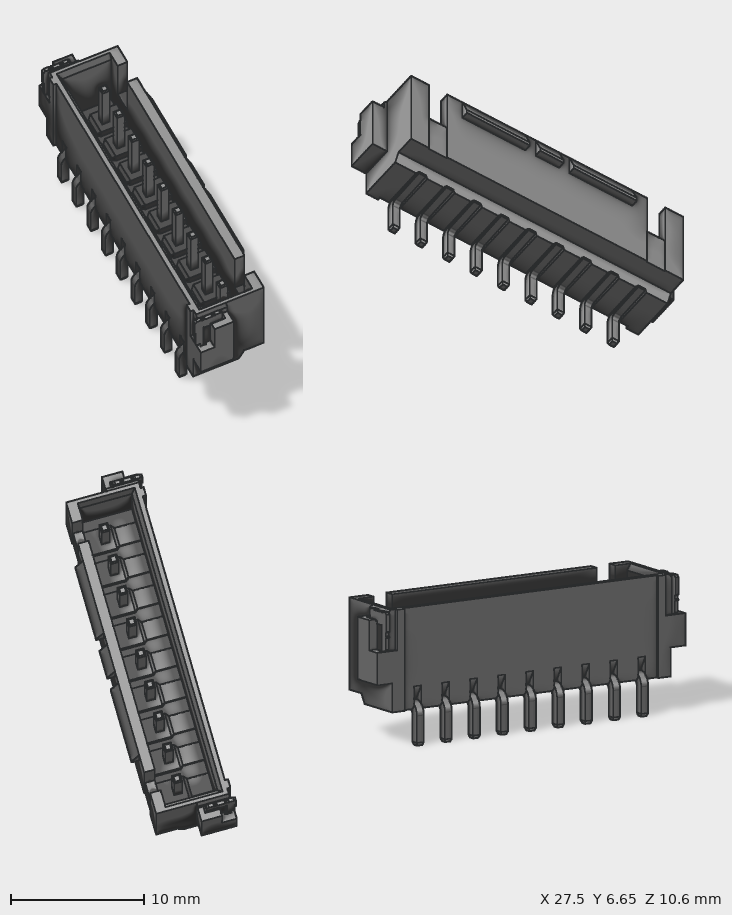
import cadquery as cq

PIN_COUNT = 9
PITCH = 2.5

BODY_HALF = 12.43
BODY_BACK = 5.66
BODY_TOP = 7.8
HEEL_HEIGHT = 0.75
HEEL_LOW_Y = 3.58
HEEL_HIGH_Y = 4.02

CAVITY_HALF = 11.82
CAVITY_FRONT = 0.72
CAVITY_BACK = 4.85
CAVITY_FLOOR = 2.2
MOUTH_FLARE = 0.3
MOUTH_DEPTH = 0.5

SEAT_WIDTH = 1.85
SEAT_FRONT = 2.65
SEAT_TOP = 2.75
TONGUE_WIDTH = 1.43
TONGUE_BACK = 2.4
TONGUE_TOP = 2.48

WINDOW_INNER = 9.13
WINDOW_OUTER = 10.78
WINDOW_SILL = 4.18
SILL_SETBACK = 0.08

RIB_BACK = 6.27
RIB_BOTTOM = 6.08
RIB_NOSE = 6.4
RIB_SPANS = [(-7.75, -2.0), (-1.07, 1.07), (2.0, 7.75)]

EAR_HALF = 13.75
EAR_BACK = 2.5
EAR_BOTTOM = 2.23
EAR_TOP = 7.0
PAD_FRONT = -0.25
PAD_INNER = 11.33
NOTCH_INNER = 12.0
NOTCH_BACK = 0.9
NOTCH_FLOOR = 4.7
CHEEK_HALF = 12.68

METAL_FRONT = -0.38

SLOT_BOTTOM = 3.3
SLOT_LEAD_IN = 0.16
SOCKET_OUTER = 13.2
SOCKET_BACK = 0.5
NAIL_INNER = 12.75
NAIL_OUTER = 13.04
NAIL_BACK = 1.9
NAIL_BACK_CORNER = 0.08
NAIL_EDGE_CHAMFER = 0.08
NAIL_TOP = 7.73
NAIL_CORNER = 0.16
NAIL_ARM_BOTTOM = 6.65
NAIL_LEG_BACK = 0.38
NAIL_STEM_FRONT = 0.05
NAIL_RELIEF = 0.08
NAIL_RELIEF_TOP = 6.25
NAIL_GROOVE_Y = (0.16, 1.32)
TOOTH_SIZE = 0.16
FRONT_TOOTH_Z = 5.83
TOP_TOOTH_Y = (0.38, 1.15)

PIN_SIZE = 0.63
PIN_Y = 3.35
PIN_TOP = 6.8
PIN_TIP = -2.78
PIN_UNDERSIDE = -0.05
RUN_RISE = 0.08
BEND_INNER_RADIUS = 0.38
TOP_CHAMFER = 0.1
TIP_CHAMFER = 0.095
TIP_CHAMFER_LENGTH = 0.25

OUTLET_TOP = 1.73
OUTLET_DEPTH = 0.63
OUTLET_GAP = 0.08
FLARE = 0.2

PIN_XS = [(i - (PIN_COUNT - 1) / 2) * PITCH for i in range(PIN_COUNT)]


def box(x0, x1, y0, y1, z0, z1):
    """Axis-aligned box between two corners."""
    return cq.Workplane("XY").box(x1 - x0, y1 - y0, z1 - z0, centered=False).translate((x0, y0, z0))


def flare(lower, upper, z0, z1):
    """Solid that runs from one (x0, x1, y0, y1) rectangle at z0 to another at z1."""
    sections = []
    for (x0, x1, y0, y1), z in ((lower, z0), (upper, z1)):
        corners = [(x0, y0, z), (x1, y0, z), (x1, y1, z), (x0, y1, z)]
        sections.append(cq.Wire.makePolygon([cq.Vector(*corner) for corner in corners], close=True))
    return cq.Workplane(cq.Solid.makeLoft(sections, True))


def side_profile(points, x0, x1):
    """Closed Y-Z outline extruded from x0 to x1."""
    return cq.Workplane("YZ").polyline(points).close().extrude(x1 - x0).translate((x0, 0, 0))


def both_ends(shape):
    """The +X shape together with its mirror image at the -X end."""
    return shape.union(shape.mirror("YZ"))


def make_shell():
    outline = [
        (0, 0),
        (HEEL_LOW_Y, 0),
        (HEEL_HIGH_Y, HEEL_HEIGHT),
        (BODY_BACK, HEEL_HEIGHT),
        (BODY_BACK, BODY_TOP),
        (0, BODY_TOP),
    ]
    return side_profile(outline, -BODY_HALF, BODY_HALF)


def make_cavity():
    """Open-top cavity whose mouth flares at the front and both ends, not at the back."""
    cavity = box(-CAVITY_HALF, CAVITY_HALF, CAVITY_FRONT, CAVITY_BACK, CAVITY_FLOOR, BODY_TOP)
    mouth_half = CAVITY_HALF + MOUTH_FLARE
    mouth = flare(
        (-CAVITY_HALF, CAVITY_HALF, CAVITY_FRONT, CAVITY_BACK),
        (-mouth_half, mouth_half, CAVITY_FRONT - MOUTH_FLARE, CAVITY_BACK),
        BODY_TOP - MOUTH_DEPTH,
        BODY_TOP,
    )
    return cavity.union(mouth)


def make_seat(x):
    """Wide block behind the contact that slopes down and narrows to a tongue in front of it."""
    outline = [
        (TONGUE_WIDTH / 2, CAVITY_FRONT),
        (TONGUE_WIDTH / 2, TONGUE_BACK),
        (SEAT_WIDTH / 2, SEAT_FRONT),
        (SEAT_WIDTH / 2, CAVITY_BACK),
    ]
    plan = outline + [(-px, py) for px, py in reversed(outline)]
    block = cq.Workplane("XY").polyline(plan).close().extrude(SEAT_TOP - CAVITY_FLOOR)
    profile = [
        (CAVITY_FRONT, CAVITY_FLOOR),
        (CAVITY_FRONT, TONGUE_TOP),
        (TONGUE_BACK, TONGUE_TOP),
        (SEAT_FRONT, SEAT_TOP),
        (CAVITY_BACK, SEAT_TOP),
        (CAVITY_BACK, CAVITY_FLOOR),
    ]
    steps = side_profile(profile, -SEAT_WIDTH / 2, SEAT_WIDTH / 2)
    return block.translate((0, 0, CAVITY_FLOOR)).intersect(steps).translate((x, 0, 0))


def make_window():
    """Opening down to the sill, with a shallow groove below it on the outside of the wall."""
    opening = box(WINDOW_INNER, WINDOW_OUTER, CAVITY_BACK, BODY_BACK, WINDOW_SILL, BODY_TOP)
    groove = box(WINDOW_INNER, WINDOW_OUTER, BODY_BACK - SILL_SETBACK, BODY_BACK, HEEL_HEIGHT, BODY_TOP)
    return opening.union(groove)


def make_rib(x0, x1):
    outline = [
        (BODY_BACK, RIB_BOTTOM),
        (RIB_BACK, RIB_BOTTOM),
        (RIB_BACK, RIB_NOSE),
        (BODY_BACK, BODY_TOP),
    ]
    return side_profile(outline, x0, x1)


def make_ear():
    """Ear, front pad and chamfered cheek of the +X end, with the notch and nail slot removed."""
    pad = box(PAD_INNER, BODY_HALF, PAD_FRONT, 0, 0, BODY_TOP)
    block = box(BODY_HALF, EAR_HALF, PAD_FRONT, EAR_BACK, EAR_BOTTOM, EAR_TOP)
    notch_side = box(CHEEK_HALF, EAR_HALF, PAD_FRONT, NOTCH_BACK, NOTCH_FLOOR, BODY_TOP)
    notch_front = box(NOTCH_INNER, EAR_HALF, PAD_FRONT, 0, NOTCH_FLOOR, BODY_TOP)
    slot = box(CHEEK_HALF, NAIL_OUTER, 0, NAIL_BACK, SLOT_BOTTOM, BODY_TOP)
    lead_in = flare(
        (CHEEK_HALF, NAIL_OUTER, 0, NAIL_BACK),
        (CHEEK_HALF, NAIL_OUTER + SLOT_LEAD_IN, 0, NAIL_BACK + SLOT_LEAD_IN),
        EAR_TOP - SLOT_LEAD_IN,
        EAR_TOP,
    )
    socket = box(CHEEK_HALF, SOCKET_OUTER, 0, SOCKET_BACK, SLOT_BOTTOM, NOTCH_FLOOR)
    cheek_width = CHEEK_HALF - BODY_HALF
    cheek = (
        cq.Workplane("XZ")
        .polyline([
            (BODY_HALF, EAR_BOTTOM),
            (CHEEK_HALF, EAR_BOTTOM),
            (CHEEK_HALF, BODY_TOP - cheek_width),
            (BODY_HALF, BODY_TOP),
        ])
        .close()
        .extrude(-EAR_BACK)
    )
    ear = pad.union(block)
    for pocket in (notch_side, notch_front, slot, lead_in, socket):
        ear = ear.cut(pocket)
    return ear.union(cheek)


def make_nail():
    """L-shaped +X end plate: arm along the top, leg down the front, stem held in the socket."""
    relief_y = METAL_FRONT + NAIL_RELIEF
    outline = [
        (NAIL_BACK, NAIL_ARM_BOTTOM),
        (NAIL_BACK, NAIL_TOP - NAIL_BACK_CORNER),
        (NAIL_BACK - NAIL_CORNER, NAIL_TOP),
        (METAL_FRONT + NAIL_CORNER, NAIL_TOP),
        (METAL_FRONT, NAIL_TOP - NAIL_CORNER),
        (METAL_FRONT, NAIL_RELIEF_TOP),
        (relief_y, NAIL_RELIEF_TOP - NAIL_RELIEF),
        (relief_y, NOTCH_FLOOR + NAIL_CORNER),
        (relief_y + NAIL_CORNER, NOTCH_FLOOR),
        (NAIL_STEM_FRONT, NOTCH_FLOOR),
        (NAIL_STEM_FRONT, SLOT_BOTTOM),
        (NAIL_LEG_BACK, SLOT_BOTTOM),
        (NAIL_LEG_BACK, NAIL_ARM_BOTTOM),
    ]
    leg_edge = cq.selectors.NearestToPointSelector((NAIL_OUTER, NAIL_LEG_BACK, NOTCH_FLOOR))
    nail = side_profile(outline, NAIL_INNER, NAIL_OUTER).edges("|Z").edges(leg_edge).chamfer(NAIL_EDGE_CHAMFER)
    groove_front, groove_back = NAIL_GROOVE_Y
    groove_floor = NAIL_TOP - NAIL_RELIEF
    nail = nail.cut(box(NAIL_INNER, NAIL_OUTER, groove_front, groove_back, groove_floor, NAIL_TOP))
    for y in TOP_TOOTH_Y:
        tooth = [(y - TOOTH_SIZE / 2, groove_floor), (y, NAIL_TOP), (y + TOOTH_SIZE / 2, groove_floor)]
        nail = nail.union(side_profile(tooth, NAIL_INNER, NAIL_OUTER))
    front_tooth = [
        (relief_y, FRONT_TOOTH_Z - TOOTH_SIZE / 2),
        (METAL_FRONT, FRONT_TOOTH_Z),
        (relief_y, FRONT_TOOTH_Z + TOOTH_SIZE / 2),
    ]
    return nail.union(side_profile(front_tooth, NAIL_INNER, NAIL_OUTER))


def make_outlet(x):
    """Sloped relief above the bent pin and a flared groove along the underside."""
    relief_end = PIN_UNDERSIDE + PIN_SIZE + OUTLET_GAP
    relief_profile = [(0, 0), (0, OUTLET_TOP), (OUTLET_DEPTH, relief_end), (OUTLET_DEPTH, 0)]
    relief = side_profile(relief_profile, x - PIN_SIZE / 2, x + PIN_SIZE / 2)
    groove = (
        cq.Workplane("XZ")
        .polyline([
            (x - PIN_SIZE / 2 - FLARE, 0),
            (x - PIN_SIZE / 2, FLARE),
            (x + PIN_SIZE / 2, FLARE),
            (x + PIN_SIZE / 2 + FLARE, 0),
        ])
        .close()
        .extrude(-HEEL_HIGH_Y)
    )
    return relief.union(groove)


def make_pin(x):
    """Square contact: upright post, run along the underside, then bent down into a solder leg."""
    outer_radius = BEND_INNER_RADIUS + PIN_SIZE
    upper = PIN_UNDERSIDE + PIN_SIZE
    post_back = PIN_Y + PIN_SIZE / 2
    run_end = PIN_UNDERSIDE + RUN_RISE
    bend_y = METAL_FRONT + outer_radius
    bend_z = upper - outer_radius
    run = side_profile(
        [(bend_y, PIN_UNDERSIDE), (post_back, run_end), (post_back, upper), (bend_y, upper)],
        -PIN_SIZE / 2,
        PIN_SIZE / 2,
    )
    bend = (
        cq.Workplane("YZ", origin=(-PIN_SIZE / 2, bend_y, bend_z))
        .circle(outer_radius)
        .circle(BEND_INNER_RADIUS)
        .extrude(PIN_SIZE)
        .intersect(box(-PIN_SIZE, PIN_SIZE, METAL_FRONT, bend_y, bend_z, upper))
    )
    leg = (
        box(-PIN_SIZE / 2, PIN_SIZE / 2, METAL_FRONT, METAL_FRONT + PIN_SIZE, PIN_TIP, bend_z)
        .faces("<Z")
        .chamfer(TIP_CHAMFER_LENGTH, TIP_CHAMFER)
    )
    post = (
        box(-PIN_SIZE / 2, PIN_SIZE / 2, post_back - PIN_SIZE, post_back, run_end, PIN_TOP)
        .faces(">Z")
        .chamfer(TOP_CHAMFER)
    )
    return post.union(run).union(bend).union(leg).translate((x, 0, 0))


result = make_shell().cut(make_cavity()).cut(both_ends(make_window()))
for rib_start, rib_end in RIB_SPANS:
    result = result.union(make_rib(rib_start, rib_end))
result = result.union(both_ends(make_ear())).union(both_ends(make_nail()))
for pin_x in PIN_XS:
    result = result.union(make_seat(pin_x)).cut(make_outlet(pin_x)).union(make_pin(pin_x))